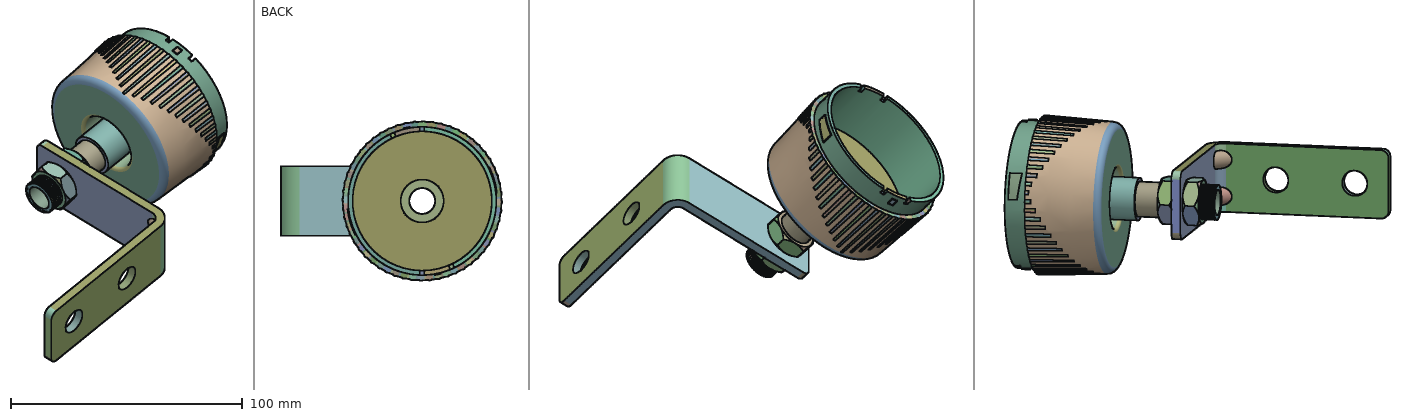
import cadquery as cq
import math


HEAD_LENGTH = 42.5
SHOULDER_Y = 33.0
RIM_RADIUS = 32.0
SHOULDER_RADIUS = 34.2
FRONT_RADIUS = 32.9
FRONT_FILLET = 3.0
RIM_WALL = 2.0
HEAD_TURN = 12.0

RECESS_RADIUS = 13.2
RECESS_DEPTH = 12.0
RECESS_EDGE_ROUNDING = 1.5
FLOOR_THICKNESS = 4.0
CAVITY_FLOOR_Y = RECESS_DEPTH + FLOOR_THICKNESS

RIB_COUNT = 56
RIB_RADIUS = 1.5
RIB_HEIGHT = 0.25
RIB_FRONT_HEIGHT = 0.09
LONGEST_RIB = 29.8
SHORTEST_RIB = 1.5
RIB_STEP = 2.1

NOTCH_WIDTH = 2.0
NOTCH_DEPTH = 2.5
NOTCH_ANGLE = 12.0
MARK_HEIGHT = 0.5
LUG_EDGE_GAP = 2.1
WEDGE_EDGE_GAP = 1.6
LUG_WIDTH = 2.7
LUG_LENGTH = 3.1
WEDGE_SPAN = 11.5
WEDGE_OFFSET = 2.5
WEDGE_LONG_SIDE = 5.4
WEDGE_SHORT_SIDE = 3.9

BORE_RADIUS = 5.5
TUBE_RADIUS = 7.6
COLLAR_RADIUS = 9.3
COLLAR_END_Y = -9.7
TUBE_END_Y = -44.5
THREAD_PITCH = 1.0
THREAD_DEPTH = 0.6

SHEET = 4.0
STRIP_WIDTH = 30.0
PLATE_BACK_Y = -27.0
PLATE_LEFT_X = -13.0
LEG_OUTER_X = 61.0
OVERALL_LENGTH = 149.5
BRACKET_END_Y = HEAD_LENGTH - OVERALL_LENGTH
BEND_RADIUS = 4.0
CORNER_RADIUS = 3.3
LEG_HOLE_DIAMETER = 11.0
LEG_HOLE_SPACING = 35.0
LEG_HOLE_END_DISTANCE = 15.0
GUSSET_RADIUS = 4.2
GUSSET_REACH = 6.6
GUSSET_Z = 8.0

PLATE_FRONT_Y = PLATE_BACK_Y - SHEET
LEG_INNER_X = LEG_OUTER_X - SHEET

NUT_FLATS = 19.0
NUT_THICKNESS = 7.0
NUT_CHAMFER_ANGLE = 45.0


def cylinder_y(radius, y_start, y_end):
    """Cylinder on the Y axis between two Y positions."""
    return cq.Workplane("XZ", origin=(0, y_end, 0)).circle(radius).extrude(y_end - y_start)


def turn_y(shape, angle):
    """Turn about the Y axis; a positive angle moves +Z towards +X."""
    return shape.rotate((0, 0, 0), (0, 1, 0), angle)


def wall_radius(y):
    """Radius of the tapered head wall at a Y position."""
    return FRONT_RADIUS + (SHOULDER_RADIUS - FRONT_RADIUS) * (y - FRONT_FILLET) / (SHOULDER_Y - FRONT_FILLET)


def head_shell():
    fillet_centre = FRONT_RADIUS - FRONT_FILLET
    fillet_mid = FRONT_FILLET * math.sqrt(0.5)
    outside = (
        cq.Workplane("XY")
        .lineTo(fillet_centre, 0)
        .threePointArc((fillet_centre + fillet_mid, FRONT_FILLET - fillet_mid), (FRONT_RADIUS, FRONT_FILLET))
        .lineTo(SHOULDER_RADIUS, SHOULDER_Y)
        .lineTo(RIM_RADIUS, SHOULDER_Y)
        .lineTo(RIM_RADIUS, HEAD_LENGTH)
        .lineTo(0, HEAD_LENGTH)
        .close()
        .revolve(360, (0, 0, 0), (0, 1, 0))
    )
    cavity = cylinder_y(RIM_RADIUS - RIM_WALL, CAVITY_FLOOR_Y, HEAD_LENGTH)
    recess = cylinder_y(RECESS_RADIUS, 0, RECESS_DEPTH)
    stem_hole = cylinder_y(COLLAR_RADIUS, 0, CAVITY_FLOOR_Y)
    cup = outside.cut(cavity).cut(recess)
    cup = cup.faces("<Y").edges(cq.selectors.RadiusNthSelector(0)).fillet(RECESS_EDGE_ROUNDING)
    return cup.cut(stem_hole)


def grip_rib(length):
    """One half-round rib on the +Z side, cut off at the shoulder and sinking towards the front."""
    longest_end_y = SHOULDER_Y - LONGEST_RIB
    rise = wall_radius(SHOULDER_Y) + RIB_HEIGHT - wall_radius(longest_end_y) - RIB_FRONT_HEIGHT
    slope = rise / LONGEST_RIB
    bar_length = length + RIB_RADIUS
    end_y = SHOULDER_Y - length
    end_z = wall_radius(SHOULDER_Y) + RIB_HEIGHT - RIB_RADIUS - slope * length
    bar = cq.Solid.makeCylinder(RIB_RADIUS, bar_length, cq.Vector(0, end_y, end_z), cq.Vector(0, 1, slope))
    return cq.Workplane(obj=bar).cut(cylinder_y(2 * SHOULDER_RADIUS, SHOULDER_Y, HEAD_LENGTH))


def grip_ribs():
    half_count = RIB_COUNT // 2
    ribs = cq.Workplane("XY")
    for index in range(RIB_COUNT):
        steps_from_longest = min(index % half_count, half_count - index % half_count)
        length = max(LONGEST_RIB - RIB_STEP * steps_from_longest, SHORTEST_RIB)
        ribs = ribs.add(turn_y(grip_rib(length), index * 360 / RIB_COUNT))
    return ribs


def rim_notches():
    notches = cq.Workplane("XY")
    notch = cq.Workplane("XY").box(NOTCH_WIDTH, NOTCH_DEPTH, 2 * RIM_WALL + 2 * MARK_HEIGHT)
    notch = notch.translate((0, HEAD_LENGTH - NOTCH_DEPTH / 2, RIM_RADIUS - RIM_WALL / 2))
    for pole in (0, 180):
        for side in (-1, 1):
            notches = notches.add(turn_y(notch, pole + side * NOTCH_ANGLE))
    return notches


def raised_marks():
    """A square lug at each pole and a wedge on each side between them, following the round rim."""
    lug = cq.Workplane("XY").box(LUG_WIDTH, LUG_LENGTH, RIM_RADIUS, centered=(True, False, False))
    lug = lug.translate((0, HEAD_LENGTH - LUG_EDGE_GAP - LUG_LENGTH, RIM_RADIUS / 2))
    wedge_top = HEAD_LENGTH - WEDGE_EDGE_GAP
    wedge_low = WEDGE_OFFSET - WEDGE_SPAN / 2
    wedge_high = WEDGE_OFFSET + WEDGE_SPAN / 2
    wedge = (
        cq.Workplane("YZ")
        .moveTo(wedge_top, wedge_low)
        .lineTo(wedge_top, wedge_high)
        .lineTo(wedge_top - WEDGE_LONG_SIDE, wedge_high)
        .lineTo(wedge_top - WEDGE_SHORT_SIDE, wedge_low)
        .close()
        .extrude(-2 * RIM_RADIUS)
    )
    blanks = cq.Workplane("XY")
    for angle in (0, 180):
        blanks = blanks.union(turn_y(lug, angle)).union(turn_y(wedge, angle))
    skin = cylinder_y(RIM_RADIUS + MARK_HEIGHT, SHOULDER_Y, HEAD_LENGTH)
    skin = skin.cut(cylinder_y(RIM_RADIUS - RIM_WALL / 2, SHOULDER_Y, HEAD_LENGTH))
    return blanks.intersect(skin)


def make_head():
    shell = head_shell().union(raised_marks()).val()
    ribbed = shell.fuse(*grip_ribs().vals())
    notched = ribbed.cut(*rim_notches().vals())
    return turn_y(cq.Workplane(obj=notched), HEAD_TURN)


def make_stem():
    stem = cylinder_y(COLLAR_RADIUS, COLLAR_END_Y, CAVITY_FLOOR_Y)
    stem = stem.union(cylinder_y(TUBE_RADIUS, TUBE_END_Y, COLLAR_END_Y))
    stem = stem.cut(cylinder_y(BORE_RADIUS, TUBE_END_Y, CAVITY_FLOOR_Y))
    exposed_length = PLATE_FRONT_Y - NUT_THICKNESS - TUBE_END_Y
    for index in range(int(exposed_length / THREAD_PITCH)):
        groove_y = TUBE_END_Y + (index + 0.5) * THREAD_PITCH
        groove = (
            cq.Workplane("XY")
            .moveTo(TUBE_RADIUS, groove_y - THREAD_PITCH / 2)
            .lineTo(TUBE_RADIUS, groove_y + THREAD_PITCH / 2)
            .lineTo(TUBE_RADIUS - THREAD_DEPTH, groove_y)
            .close()
            .revolve(360, (0, 0, 0), (0, 1, 0))
        )
        stem = stem.cut(groove)
    return stem


def bracket_gussets():
    """Two rounded stiffeners laid at 45 degrees across the inside of the bend."""
    corner = (LEG_INNER_X, PLATE_FRONT_Y)
    wedge = (
        cq.Workplane("XY", origin=(0, 0, -STRIP_WIDTH / 2))
        .moveTo(*corner)
        .lineTo(LEG_INNER_X - GUSSET_REACH, PLATE_FRONT_Y)
        .lineTo(LEG_INNER_X, PLATE_FRONT_Y - GUSSET_REACH)
        .close()
        .extrude(STRIP_WIDTH)
    )
    axis_offset = GUSSET_REACH / 2 - GUSSET_RADIUS * math.sqrt(0.5)
    bars = cq.Workplane("XY")
    for z in (-GUSSET_Z, GUSSET_Z):
        start = cq.Vector(
            LEG_INNER_X - axis_offset - GUSSET_REACH,
            PLATE_FRONT_Y - axis_offset + GUSSET_REACH,
            z,
        )
        length = 2 * GUSSET_REACH * math.sqrt(2)
        bars = bars.add(cq.Solid.makeCylinder(GUSSET_RADIUS, length, start, cq.Vector(1, -1, 0)))
    return wedge.intersect(bars.combine())


def make_bracket():
    bracket = (
        cq.Workplane("XY", origin=(0, 0, -STRIP_WIDTH / 2))
        .moveTo(PLATE_LEFT_X, PLATE_BACK_Y)
        .lineTo(LEG_OUTER_X, PLATE_BACK_Y)
        .lineTo(LEG_OUTER_X, BRACKET_END_Y)
        .lineTo(LEG_INNER_X, BRACKET_END_Y)
        .lineTo(LEG_INNER_X, PLATE_FRONT_Y)
        .lineTo(PLATE_LEFT_X, PLATE_FRONT_Y)
        .close()
        .extrude(STRIP_WIDTH)
    )
    bracket = bracket.edges(cq.NearestToPointSelector((LEG_OUTER_X, PLATE_BACK_Y, 0)))
    bracket = bracket.fillet(BEND_RADIUS + SHEET)
    bracket = bracket.edges(cq.NearestToPointSelector((LEG_INNER_X, PLATE_FRONT_Y, 0)))
    bracket = bracket.fillet(BEND_RADIUS)
    bracket = bracket.faces("<X").edges("|Y").fillet(CORNER_RADIUS)
    bracket = bracket.faces("<Y").edges("|X").fillet(CORNER_RADIUS)
    bracket = bracket.union(bracket_gussets())

    stem_hole = cylinder_y(TUBE_RADIUS, PLATE_FRONT_Y, PLATE_BACK_Y)
    outer_hole_y = BRACKET_END_Y + LEG_HOLE_END_DISTANCE
    leg_holes = (
        cq.Workplane("YZ", origin=(LEG_INNER_X, 0, 0))
        .pushPoints([(outer_hole_y, 0), (outer_hole_y + LEG_HOLE_SPACING, 0)])
        .circle(LEG_HOLE_DIAMETER / 2)
        .extrude(SHEET)
    )
    return bracket.cut(stem_hole).cut(leg_holes)


def make_nut(y_back):
    """Hexagon nut with chamfered corners whose +Y face is at y_back."""
    corner_radius = NUT_FLATS / math.sqrt(3)
    face_radius = NUT_FLATS / 2
    chamfer = (corner_radius - face_radius) * math.tan(math.radians(NUT_CHAMFER_ANGLE))
    y_front = y_back - NUT_THICKNESS
    hexagon = (
        cq.Workplane("XZ", origin=(0, y_back, 0))
        .polygon(6, 2 * corner_radius)
        .circle(TUBE_RADIUS)
        .extrude(NUT_THICKNESS)
    )
    envelope = (
        cq.Workplane("XY")
        .moveTo(0, y_front)
        .lineTo(face_radius, y_front)
        .lineTo(corner_radius, y_front + chamfer)
        .lineTo(corner_radius, y_back - chamfer)
        .lineTo(face_radius, y_back)
        .lineTo(0, y_back)
        .close()
        .revolve(360, (0, 0, 0), (0, 1, 0))
    )
    return hexagon.intersect(envelope)


head = make_head()
stem = make_stem()
bracket = make_bracket()
nuts = [make_nut(y_back) for y_back in (PLATE_BACK_Y + NUT_THICKNESS, PLATE_FRONT_Y)]

result = cq.Compound.makeCompound(
    [head.val(), stem.val(), bracket.val(), *[nut.val() for nut in nuts]]
)